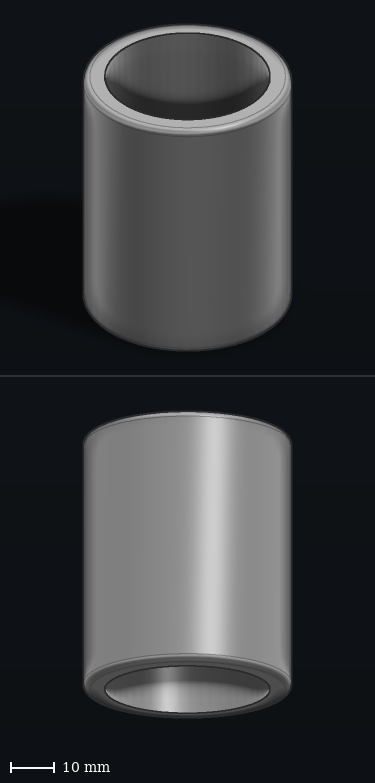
import cadquery as cq

length = 60.0
outer_diameter = 48.0
bore_diameter = 38.0
edge_radius = 1.5

body = cq.Workplane("XY").circle(outer_diameter / 2).extrude(length)
body = body.faces("<Z or >Z").edges().fillet(edge_radius)

result = body.faces(">Z").workplane().hole(bore_diameter)